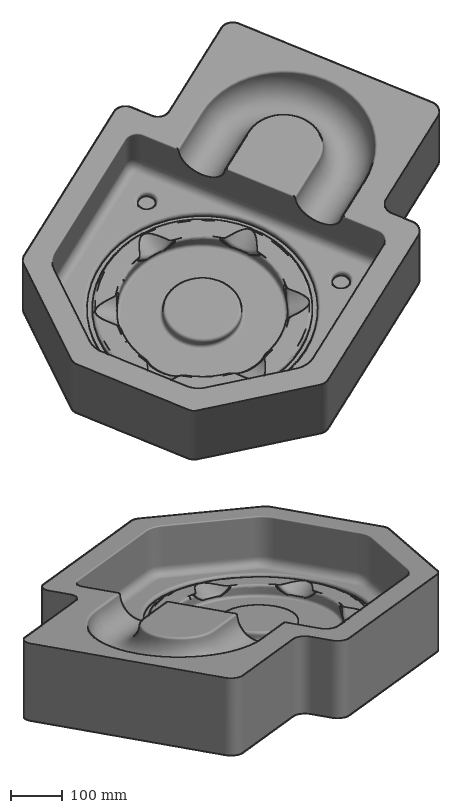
import cadquery as cq
import math

HEIGHT = 160.03
BODY_HALF_WIDTH = 657.43 / 2
BODY_HALF_LENGTH = 298.0
HEAD_HALF_WIDTH = 234.0
HEAD_END_Y = 570.0
TIP_HALF_WIDTH = 129.4
SIDE_END_Y = -122.6
OUTER_CORNER_RADIUS = 25.0

WALL = 50.0
CAVITY_DEPTH = 101.5
CAVITY_BACK_RADIUS = 25.0
CAVITY_FRONT_RADIUS = 50.0
CAVITY_FLOOR_RADIUS = 18.5
CAVITY_RIM_RADIUS = 2.5

SELECTION_MARGIN = 1.0

WELL_RADIUS = 164.5
WELL_DEPTH = 24.0
BOSS_RADIUS = 76.5
BOSS_HEIGHT = 18.0
BOSS_EDGE_RADIUS = 6.0
WELL_LIP_RADIUS = 5.0
FOOT_RADIUS = 6.0

GROOVE_MID_RADIUS = 217.5
GROOVE_FLOOR_WIDTH = 10.0
GROOVE_DEPTH = 8.0
GROOVE_LIP_RADIUS = 6.0

NOTCH_COUNT = 6
NOTCH_FIRST_ANGLE = 30.0
NOTCH_TIP_RADIUS = 206.8
NOTCH_AXIS_HEIGHT = 36.0
NOTCH_HALF_ANGLE = 19.0
NOTCH_FLARE_RADIUS = 8.0
NOTCH_END_RADIUS = 163.5

CHANNEL_RADIUS = 50.0
CHANNEL_LIP_RADIUS = 5.0
CHANNEL_BEND_RADIUS = 126.0
CHANNEL_BEND_Y = 348.5

HOLE_X = 210.0
HOLE_Y = 178.0
HOLE_RADIUS = 17.5
HOLE_DEPTH = 10.0
HOLE_EDGE_RADIUS = 6.0

FLOOR_Z = HEIGHT - CAVITY_DEPTH
WELL_Z = FLOOR_Z - WELL_DEPTH
CAVITY_BACK_Y = BODY_HALF_LENGTH - WALL


def mirrored_outline(right_side):
    """Closed polyline made of right-hand points and their mirror images in X."""
    left_side = [(-x, y) for x, y in reversed(right_side)]
    return cq.Workplane("XY").polyline(right_side + left_side).close()


def make_block():
    outline = mirrored_outline([
        (TIP_HALF_WIDTH, -BODY_HALF_LENGTH),
        (BODY_HALF_WIDTH, SIDE_END_Y),
        (BODY_HALF_WIDTH, BODY_HALF_LENGTH),
        (HEAD_HALF_WIDTH, BODY_HALF_LENGTH),
        (HEAD_HALF_WIDTH, HEAD_END_Y),
    ])
    return outline.extrude(HEIGHT).edges("|Z").fillet(OUTER_CORNER_RADIUS)


def make_cavity():
    """Solid that fills the cavity, rounded around its floor."""
    slope = math.atan2(SIDE_END_Y + BODY_HALF_LENGTH, BODY_HALF_WIDTH - TIP_HALF_WIDTH)
    tip_inset = WALL * math.tan(slope / 2)
    side_inset = WALL * math.tan((math.pi / 2 - slope) / 2)
    half_width = BODY_HALF_WIDTH - WALL
    outline = mirrored_outline([
        (TIP_HALF_WIDTH - tip_inset, WALL - BODY_HALF_LENGTH),
        (half_width, SIDE_END_Y + side_inset),
        (half_width, CAVITY_BACK_Y),
    ])
    cavity = outline.extrude(CAVITY_DEPTH).translate((0, 0, FLOOR_Z))
    cavity = cavity.edges("|Z and >Y").fillet(CAVITY_BACK_RADIUS)
    front_corners = cq.selectors.BoxSelector(
        (-BODY_HALF_WIDTH, -BODY_HALF_LENGTH, 0), (BODY_HALF_WIDTH, 0, HEIGHT)
    )
    cavity = cavity.edges("|Z").edges(front_corners).fillet(CAVITY_FRONT_RADIUS)
    return cavity.faces("<Z").edges().fillet(CAVITY_FLOOR_RADIUS)


def edges_inside(low, high):
    """Selector for the edges that lie wholly between two corner points, with a small margin."""
    return cq.selectors.BoxSelector(
        tuple(value - SELECTION_MARGIN for value in low),
        tuple(value + SELECTION_MARGIN for value in high),
        boundingbox=True,
    )


def round_cavity_rim(body):
    """Round the rim of the open cavity, before the channel breaks through it."""
    half_width = BODY_HALF_WIDTH - WALL
    rim = edges_inside(
        (-half_width, WALL - BODY_HALF_LENGTH, HEIGHT),
        (half_width, CAVITY_BACK_Y, HEIGHT),
    )
    return body.edges(rim).fillet(CAVITY_RIM_RADIUS)


def quarter_arc(sketch, start, corner, end):
    """Draw a quarter circle from start to end that rounds off the square corner."""
    reach = math.sqrt(0.5)
    middle = tuple(
        c + (1 - reach) * ((s - c) + (e - c)) for s, c, e in zip(start, corner, end)
    )
    return sketch.lineTo(*start).threePointArc(middle, end)


def revolve_profile(sketch):
    return sketch.close().revolve(360, (0, 0, 0), (0, 1, 0))


def make_well():
    """Annular void of the well around the boss, with a rounded lip at its top."""
    boss_z = WELL_Z + BOSS_HEIGHT
    sketch = cq.Workplane("XZ").moveTo(0, FLOOR_Z).lineTo(0, boss_z)
    sketch = quarter_arc(
        sketch,
        (BOSS_RADIUS - BOSS_EDGE_RADIUS, boss_z),
        (BOSS_RADIUS, boss_z),
        (BOSS_RADIUS, boss_z - BOSS_EDGE_RADIUS),
    )
    sketch = quarter_arc(
        sketch,
        (BOSS_RADIUS, WELL_Z + FOOT_RADIUS),
        (BOSS_RADIUS, WELL_Z),
        (BOSS_RADIUS + FOOT_RADIUS, WELL_Z),
    )
    sketch = quarter_arc(
        sketch,
        (WELL_RADIUS - FOOT_RADIUS, WELL_Z),
        (WELL_RADIUS, WELL_Z),
        (WELL_RADIUS, WELL_Z + FOOT_RADIUS),
    )
    sketch = quarter_arc(
        sketch,
        (WELL_RADIUS, FLOOR_Z - WELL_LIP_RADIUS),
        (WELL_RADIUS, FLOOR_Z),
        (WELL_RADIUS + WELL_LIP_RADIUS, FLOOR_Z),
    )
    return revolve_profile(sketch)


def make_groove():
    """Ring void with a flat floor and two rounded lips."""
    inner = GROOVE_MID_RADIUS - GROOVE_FLOOR_WIDTH / 2
    outer = GROOVE_MID_RADIUS + GROOVE_FLOOR_WIDTH / 2
    lip_z = FLOOR_Z - GROOVE_LIP_RADIUS
    sketch = cq.Workplane("XZ").moveTo(outer + GROOVE_LIP_RADIUS, FLOOR_Z)
    sketch = quarter_arc(
        sketch,
        (inner - GROOVE_LIP_RADIUS, FLOOR_Z),
        (inner, FLOOR_Z),
        (inner, lip_z),
    )
    sketch = sketch.lineTo(inner, FLOOR_Z - GROOVE_DEPTH).lineTo(outer, FLOOR_Z - GROOVE_DEPTH)
    sketch = quarter_arc(
        sketch,
        (outer, lip_z),
        (outer, FLOOR_Z),
        (outer + GROOVE_LIP_RADIUS, FLOOR_Z),
    )
    return revolve_profile(sketch)


def make_notch(angle):
    """Flared cone that opens a notch in the cavity floor at the given angle."""
    slope = math.radians(NOTCH_HALF_ANGLE)
    axis_z = FLOOR_Z + NOTCH_AXIS_HEIGHT
    centre_x = NOTCH_END_RADIUS + NOTCH_FLARE_RADIUS
    centre_z = (
        FLOOR_Z
        - (NOTCH_TIP_RADIUS - centre_x) * math.tan(slope)
        - NOTCH_FLARE_RADIUS / math.cos(slope)
    )

    def flare_point(turn):
        return (
            centre_x - NOTCH_FLARE_RADIUS * math.sin(turn),
            centre_z + NOTCH_FLARE_RADIUS * math.cos(turn),
        )

    profile = (
        cq.Workplane("XZ")
        .moveTo(NOTCH_TIP_RADIUS, axis_z)
        .lineTo(NOTCH_TIP_RADIUS, FLOOR_Z)
        .lineTo(*flare_point(slope))
        .threePointArc(flare_point((slope + math.pi / 2) / 2), (NOTCH_END_RADIUS, centre_z))
        .lineTo(WELL_RADIUS - FOOT_RADIUS, centre_z)
        .lineTo(WELL_RADIUS - FOOT_RADIUS, axis_z)
        .close()
    )
    notch = profile.revolve(360, (0, axis_z, 0), (1, axis_z, 0))
    return notch.rotate((0, 0, 0), (0, 0, 1), angle)


def channel_section(x):
    """Half-round channel section where the bend begins, with its lips rounded outward."""
    reach = CHANNEL_RADIUS + CHANNEL_LIP_RADIUS
    lip = math.sqrt(reach ** 2 - CHANNEL_LIP_RADIUS ** 2)
    tangent_x = lip * CHANNEL_RADIUS / reach
    tangent_z = HEIGHT - CHANNEL_LIP_RADIUS * CHANNEL_RADIUS / reach
    half_turn = (math.pi / 2 + math.asin(CHANNEL_LIP_RADIUS / reach)) / 2
    mid_x = lip - CHANNEL_LIP_RADIUS * math.sin(half_turn)
    mid_z = HEIGHT - CHANNEL_LIP_RADIUS + CHANNEL_LIP_RADIUS * math.cos(half_turn)
    return (
        cq.Workplane("XZ", origin=(0, CHANNEL_BEND_Y, 0))
        .moveTo(x - lip, HEIGHT)
        .threePointArc((x - mid_x, mid_z), (x - tangent_x, tangent_z))
        .threePointArc((x, HEIGHT - CHANNEL_RADIUS), (x + tangent_x, tangent_z))
        .threePointArc((x + mid_x, mid_z), (x + lip, HEIGHT))
        .close()
    )


def make_channel():
    straight = CHANNEL_BEND_Y - CAVITY_BACK_Y + CAVITY_FLOOR_RADIUS
    right_leg = channel_section(CHANNEL_BEND_RADIUS).extrude(straight)
    left_leg = channel_section(-CHANNEL_BEND_RADIUS).extrude(straight)
    bend = channel_section(CHANNEL_BEND_RADIUS).revolve(180, (0, 0, 0), (0, 1, 0))
    return right_leg.union(left_leg).union(bend)


def cut_locating_holes(body):
    for x in (-HOLE_X, HOLE_X):
        hole = (
            cq.Workplane("XY", origin=(x, HOLE_Y, FLOOR_Z - HOLE_DEPTH))
            .circle(HOLE_RADIUS).extrude(HOLE_DEPTH)
        )
        body = body.cut(hole)
        mouth = edges_inside(
            (x - HOLE_RADIUS, HOLE_Y - HOLE_RADIUS, FLOOR_Z),
            (x + HOLE_RADIUS, HOLE_Y + HOLE_RADIUS, FLOOR_Z),
        )
        body = body.edges(mouth).fillet(HOLE_EDGE_RADIUS)
    return body


body = make_block().cut(make_cavity())
body = round_cavity_rim(body)
body = body.cut(make_well())
for index in range(NOTCH_COUNT):
    body = body.cut(make_notch(NOTCH_FIRST_ANGLE + index * 360 / NOTCH_COUNT))
body = body.cut(make_groove())
body = cut_locating_holes(body)
body = body.cut(make_channel())
result = body